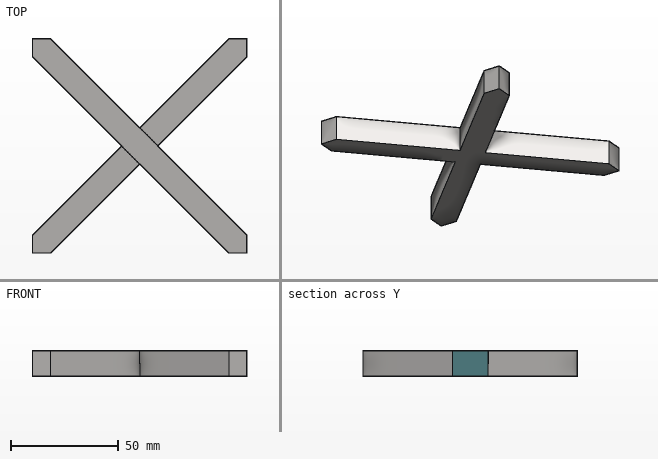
import cadquery as cq
import math

span = 100.0
thickness = 12.0
bar_width = 12.0
lap_height = thickness / 2
side_clearance = 0.05

diagonal = span * math.sqrt(2)
notch_length = bar_width + 2 * side_clearance
notch_width = 2 * bar_width
lower_angle = 45
upper_angle = -45


def centred_block(length, width, height, angle):
    """Block standing on Z = 0, centred on the Z axis and turned about it by angle degrees."""
    block = cq.Workplane("XY").box(length, width, height, centered=(True, True, False))
    return block.rotate((0, 0, 0), (0, 0, 1), angle)


def diagonal_bar(angle):
    """Full-height bar from corner to corner of the square footprint."""
    footprint = centred_block(span, span, thickness, 0)
    return centred_block(diagonal, bar_width, thickness, angle).intersect(footprint)


def lap_notch():
    """Notch in the top half of the lower bar where the upper bar crosses it."""
    notch = centred_block(notch_length, notch_width, thickness - lap_height, lower_angle)
    return notch.translate((0, 0, lap_height))


lower_bar = diagonal_bar(lower_angle).cut(lap_notch())
upper_bar = diagonal_bar(upper_angle)

result = lower_bar.union(upper_bar)